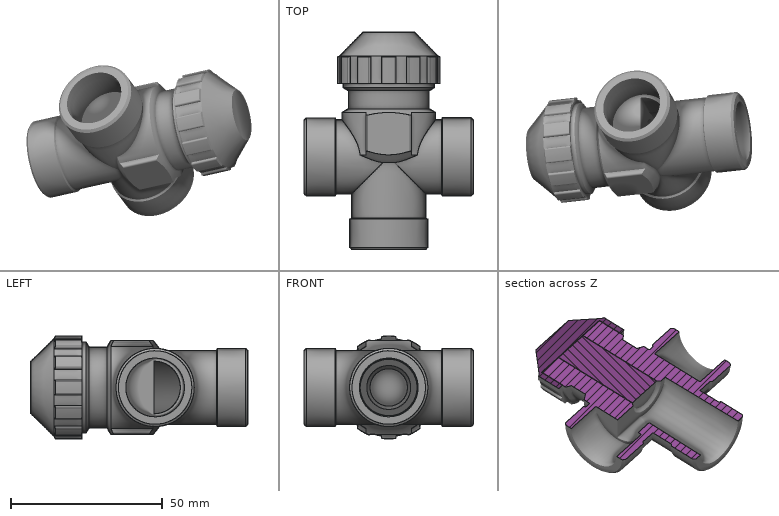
import cadquery as cq
import math


tube_radius = 12.3
collar_radius = 12.9
collar_step = 0.35
mouth_chamfer = 0.8
bore_radius = 9.7
side_reach = 28.0
side_collar_length = 10.25
side_bore_depth = 12.7
bottom_reach = 30.65
bottom_collar_length = 10.05

chamber_end = 0.35
chamber_end_radius = 9.3
passage_radius = 8.7
passage_corner = 0.35
seat_radius = 7.25
spindle_radius = 6.2

barrel_radius = 15.5
barrel_bottom = 0.65
barrel_top = 14.65
bottom_cone_length = 2.6
pad_half_width = 7.45
pad_fillet = 0.5
pad_clearance = 2.15

neck_radius = 13.35
neck_bottom = 15.85
neck_top = 21.8
thread_radius = 15.1
thread_bottom = 22.8

cap_top = 41.1
cap_bottom = 24.2
cap_shoulder = 33.3
cap_top_radius = 8.55
grip_root_radius = 16.2
rib_radius = 17.0
rib_top = 32.95
rib_count = 12
rib_half_width = 2.45
rib_fillet = 0.5
rib_sink = 0.35

spindle_bottom = chamber_end + seat_radius - spindle_radius
thread_top = cap_shoulder


def revolve_about_y(points):
    """Solid of revolution about the Y axis from (radius, y) points."""
    return cq.Workplane("XY").polyline(points).close().revolve(360, (0, 0, 0), (0, 1, 0))


def prism_along_y(outline, y_start, y_end):
    """Extrude an XZ outline from y_start to y_end."""
    return outline.extrude(-(y_end - y_start)).translate((0, y_start, 0))


def port_body(reach, collar_length):
    """Tube and chamfered collar pointing to -Y, starting at the origin."""
    collar_start = -reach + collar_length
    return revolve_about_y([
        (0, 0),
        (tube_radius, 0),
        (tube_radius, collar_start + collar_step),
        (collar_radius, collar_start),
        (collar_radius, -reach + mouth_chamfer),
        (collar_radius - mouth_chamfer, -reach),
        (0, -reach),
    ])


def turn_to_side(body, side):
    """Turn a body that points to -Y so that it points to +X (side 1) or -X (side -1)."""
    return body.rotate((0, 0, 0), (0, 0, 1), 90 * side)


def barrel():
    """Barrel with a pad above and below, its ends bounded by two cones."""
    outer_radius = barrel_radius + pad_clearance
    top_slope = (neck_bottom - barrel_top) / (barrel_radius - neck_radius)
    bottom_slope = bottom_cone_length / (barrel_radius - tube_radius)
    envelope = revolve_about_y([
        (0, barrel_bottom - bottom_cone_length),
        (tube_radius, barrel_bottom - bottom_cone_length),
        (outer_radius, barrel_bottom + pad_clearance * bottom_slope),
        (outer_radius, barrel_top - pad_clearance * top_slope),
        (neck_radius, neck_bottom),
        (0, neck_bottom),
    ])
    y_start = barrel_bottom - bottom_cone_length
    round_part = prism_along_y(cq.Workplane("XZ").circle(barrel_radius), y_start, neck_bottom)
    pads = prism_along_y(
        cq.Workplane("XZ").rect(2 * pad_half_width, 2 * barrel_radius), y_start, neck_bottom
    ).edges("|Y").fillet(pad_fillet)
    return envelope.intersect(round_part.union(pads))


def threaded_neck():
    return revolve_about_y([
        (0, barrel_top),
        (neck_radius, barrel_top),
        (neck_radius, neck_top),
        (thread_radius, thread_bottom),
        (thread_radius, thread_top),
        (0, thread_top),
    ])


def bottom_chamber():
    """Tapered bottom bore, the conical seat and the bore that holds the spindle."""
    return revolve_about_y([
        (0, -bottom_reach),
        (bore_radius, -bottom_reach),
        (chamber_end_radius, chamber_end),
        (seat_radius, chamber_end),
        (spindle_radius, spindle_bottom),
        (spindle_radius, thread_top),
        (0, thread_top),
    ])


def side_bore(side):
    bore = cq.Workplane("YZ").circle(bore_radius).extrude(side_bore_depth)
    if side > 0:
        return bore.translate((side_reach - side_bore_depth, 0, 0))
    return bore.translate((-side_reach, 0, 0))


def inlet_passage():
    """Half-round passage from the floor of the -X bore into the chamber."""
    return (
        cq.Workplane("YZ")
        .moveTo(chamber_end, passage_radius)
        .threePointArc((chamber_end - passage_radius, 0), (chamber_end, -passage_radius))
        .close()
        .extrude(-(side_reach - side_bore_depth))
        .edges("|X")
        .fillet(passage_corner)
    )


def make_housing():
    side_port = port_body(side_reach, side_collar_length)
    body = port_body(bottom_reach, bottom_collar_length).union(barrel()).union(threaded_neck())
    for side in (-1, 1):
        body = body.union(turn_to_side(side_port, side))
    body = body.cut(bottom_chamber()).cut(inlet_passage())
    for side in (-1, 1):
        body = body.cut(side_bore(side))
    return body


def make_spindle():
    return prism_along_y(cq.Workplane("XZ").circle(spindle_radius), spindle_bottom, thread_top)


def grip_rib():
    """One rib on the +Z side of the cap, with rounded tip edges and a sloping top."""
    root = grip_root_radius - rib_sink
    corner = math.sqrt(rib_radius**2 - rib_half_width**2)
    outline = (
        cq.Workplane("XZ")
        .moveTo(-rib_half_width, root)
        .lineTo(-rib_half_width, corner)
        .threePointArc((0, rib_radius), (rib_half_width, corner))
        .lineTo(rib_half_width, root)
        .close()
    )
    bar = prism_along_y(outline, cap_bottom, cap_shoulder)
    bar = bar.edges("|Y").edges(">Z").fillet(rib_fillet)
    envelope = revolve_about_y([
        (0, cap_bottom),
        (rib_radius, cap_bottom),
        (rib_radius, rib_top),
        (grip_root_radius, cap_shoulder),
        (0, cap_shoulder),
    ])
    return bar.intersect(envelope)


def make_cap():
    cap = revolve_about_y([
        (0, cap_bottom),
        (grip_root_radius, cap_bottom),
        (grip_root_radius, cap_shoulder),
        (cap_top_radius, cap_top),
        (0, cap_top),
    ])
    rib = grip_rib()
    for index in range(rib_count):
        cap = cap.union(rib.rotate((0, 0, 0), (0, 1, 0), index * 360 / rib_count))
    socket = prism_along_y(cq.Workplane("XZ").circle(thread_radius), cap_bottom, thread_top)
    return cap.cut(socket)


housing = make_housing()
spindle = make_spindle()
cap = make_cap()

result = cq.Compound.makeCompound([housing.val(), spindle.val(), cap.val()])